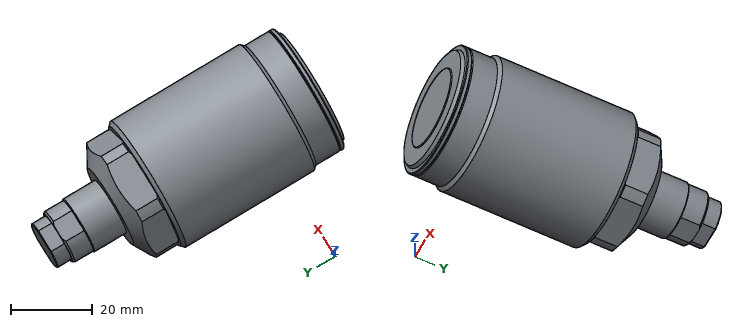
import cadquery as cq
import math


DISC_RADIUS = 10.6
DISC_HEIGHT = 0.2
DISC_EDGE = 0.2
CAP_FACE_RADIUS = 15.2
CAP_NOSE_RADIUS = 15.7
CAP_RIM_FRONT = 1.15
CAP_RIM_EDGE = 0.2
CAP_BACK = 2.5

BARREL_RADIUS = 18.0
NECK_RADIUS = 17.1
NECK_EDGE = 0.2
SHOULDER_Y = 9.4
BARREL_BACK = 48.2
BARREL_BACK_CHAMFER = 1.0

HEX_SIDES = 6
HEX_ACROSS_FLATS = 30.0
HEX_CORNER_RADIUS = 16.5
HEX_FRONT_EDGE = 0.4
HEX_BACK = 57.95
HEX_TOP_RADIUS = 10.9
HEX_TOP_ANGLE = 30
COLLAR_RADIUS = 7.55
COLLAR_BACK = 67.3
COLLAR_EDGE = 0.2
SLEEVE_RADIUS = 7.2
SLEEVE_FLAT = 6.6
SLEEVE_BACK = 72.95
SLEEVE_EDGE_DEPTH = 0.4
SLEEVE_EDGE_LENGTH = 0.5
TIP_RADIUS = 6.2
TIP_FLAT = 5.5
TIP_EDGE = 0.2
PART_LENGTH = 76.95


def revolve_profile(outline):
    """Solid of revolution about Y from (radius, y) points, closed along the axis."""
    points = [(0, outline[0][1])] + outline + [(0, outline[-1][1])]
    return cq.Workplane("XY").polyline(points).close().revolve(360, (0, 0, 0), (0, 1, 0))


def slab_between_flats(flat_distance, y_front, y_back):
    """Block that leaves two flats, facing +Z and -Z, on a round stub."""
    length = y_back - y_front
    return (
        cq.Workplane("XY")
        .box(2 * BARREL_RADIUS, length, 2 * flat_distance)
        .translate((0, y_front + length / 2, 0))
    )


def make_cap():
    rim_radius = NECK_RADIUS
    return revolve_profile([
        (DISC_RADIUS - DISC_EDGE, 0),
        (DISC_RADIUS, DISC_HEIGHT),
        (CAP_FACE_RADIUS, DISC_HEIGHT),
        (CAP_NOSE_RADIUS, CAP_RIM_FRONT),
        (rim_radius - CAP_RIM_EDGE, CAP_RIM_FRONT),
        (rim_radius, CAP_RIM_FRONT + CAP_RIM_EDGE),
        (rim_radius, CAP_BACK - CAP_RIM_EDGE),
        (rim_radius - CAP_RIM_EDGE, CAP_BACK),
    ])


def make_barrel():
    shoulder_chamfer = BARREL_RADIUS - NECK_RADIUS
    return revolve_profile([
        (NECK_RADIUS - NECK_EDGE, CAP_BACK),
        (NECK_RADIUS, CAP_BACK + NECK_EDGE),
        (NECK_RADIUS, SHOULDER_Y),
        (BARREL_RADIUS, SHOULDER_Y + shoulder_chamfer),
        (BARREL_RADIUS, BARREL_BACK - BARREL_BACK_CHAMFER),
        (BARREL_RADIUS - BARREL_BACK_CHAMFER, BARREL_BACK),
    ])


def make_hexagon():
    cone_length = (HEX_CORNER_RADIUS - HEX_TOP_RADIUS) * math.tan(math.radians(HEX_TOP_ANGLE))
    envelope = revolve_profile([
        (HEX_CORNER_RADIUS - HEX_FRONT_EDGE, BARREL_BACK),
        (HEX_CORNER_RADIUS, BARREL_BACK + HEX_FRONT_EDGE),
        (HEX_CORNER_RADIUS, HEX_BACK - cone_length),
        (HEX_TOP_RADIUS, HEX_BACK),
    ])
    across_corners = HEX_ACROSS_FLATS / math.cos(math.pi / HEX_SIDES)
    prism = (
        cq.Workplane("XZ", origin=(0, BARREL_BACK, 0))
        .polygon(HEX_SIDES, across_corners)
        .extrude(BARREL_BACK - HEX_BACK)
    )
    return envelope.intersect(prism)


def make_collar():
    return revolve_profile([
        (COLLAR_RADIUS, HEX_BACK),
        (COLLAR_RADIUS, COLLAR_BACK - COLLAR_EDGE),
        (COLLAR_RADIUS - COLLAR_EDGE, COLLAR_BACK),
    ])


def make_sleeve():
    round_sleeve = revolve_profile([
        (SLEEVE_RADIUS, COLLAR_BACK),
        (SLEEVE_RADIUS, SLEEVE_BACK - SLEEVE_EDGE_LENGTH),
        (SLEEVE_RADIUS - SLEEVE_EDGE_DEPTH, SLEEVE_BACK),
    ])
    return round_sleeve.intersect(slab_between_flats(SLEEVE_FLAT, COLLAR_BACK, SLEEVE_BACK))


def make_tip():
    tip = (
        revolve_profile([(TIP_RADIUS, SLEEVE_BACK), (TIP_RADIUS, PART_LENGTH)])
        .intersect(slab_between_flats(TIP_FLAT, SLEEVE_BACK, PART_LENGTH))
    )
    return tip.faces(">Y").chamfer(TIP_EDGE)


def make_rear_fitting():
    return make_hexagon().union(make_collar()).union(make_sleeve()).union(make_tip())


cap = make_cap()
barrel = make_barrel()
rear_fitting = make_rear_fitting()

result = cq.Compound.makeCompound([cap.val(), barrel.val(), rear_fitting.val()])